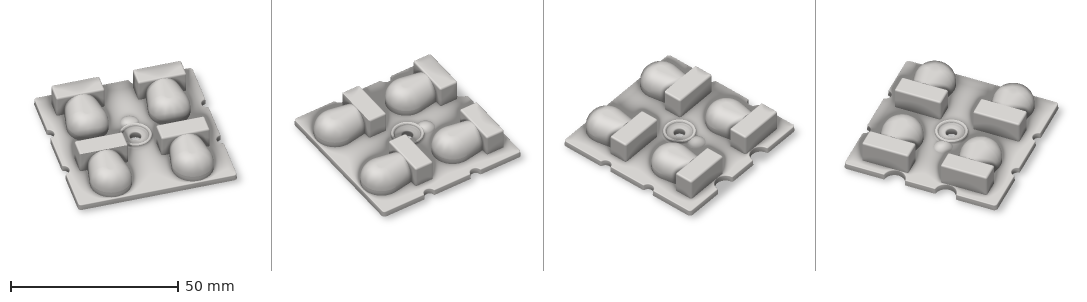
import cadquery as cq
import math

plate_side = 49.5
plate_thickness = 1.95
plate_corner_radius = 1.1
plate_edge_radius = 0.3
plate_draft_angle = 4

notch_offset = plate_side / 6
small_notch_radius = 1.65
large_notch_radius = 3.2
notch_mouth_radius = 0.5

unit_pitch = 25.45
block_width = 6.25
block_length = 15.05
block_height = 7.0
block_edge_radius = 0.6
left_block_x = -18.25

bulb_radius = 6.35
bulb_height = 6.8
bulb_top_radius = 4.95
bulb_taper = math.radians(10)
bulb_reach = 7.4

ring_outer_radius = 4.95
ring_inner_radius = 4.1
ring_height = 1.05
ring_foot_radius = 0.6
floor_height = 0.25
floor_edge_radius = 0.4
floor_wall_radius = 4.0
ring_rim_chamfer = 0.2
hole_radius = 1.7
hole_mouth_radius = 0.4

dome_x = -6.45
dome_radius = 2.85
dome_height = 0.95

pin_offset = 22.45
pin_radius = 1.0
pin_height = 0.8
pin_edge_chamfer = 0.45
key_width = 1.05


def make_plate():
    """Notched square whose walls lean inward towards the top."""
    outline = cq.Workplane("XY").rect(plate_side, plate_side).extrude(-plate_thickness)
    outline = outline.edges("|Z").fillet(plate_corner_radius)

    half = plate_side / 2
    small_centers = [(x, y) for x in (-notch_offset, notch_offset) for y in (-half, half)]
    large_centers = [(-half, y) for y in (-notch_offset, notch_offset)]
    for centers, radius in ((small_centers, small_notch_radius), (large_centers, large_notch_radius)):
        cutter = cq.Workplane("XY").pushPoints(centers).circle(radius).extrude(-plate_thickness)
        outline = outline.cut(cutter)

        for x, y in centers:
            step_x, step_y = (0, radius) if x == -half else (radius, 0)
            for side in (-1, 1):
                mouth = (x + side * step_x, y + side * step_y, -plate_thickness / 2)
                mouth_edge = cq.selectors.NearestToPointSelector(mouth)
                outline = outline.edges(mouth_edge).fillet(notch_mouth_radius)

    foot = outline.faces("<Z").wires().val()
    plate = cq.Workplane("XY", origin=(0, 0, -plate_thickness)).add(foot).toPending()
    plate = plate.extrude(plate_thickness, taper=plate_draft_angle)
    return plate.faces(">Z").edges().fillet(plate_edge_radius)


def make_block(x, y, round_far_top_edge):
    block = cq.Workplane("XY").box(
        block_width, block_length, block_height, centered=(True, True, False)
    )
    rounded_edges = "|Z or >Z" if round_far_top_edge else "|Z or (>Z and (not >X))"
    return block.edges(rounded_edges).fillet(block_edge_radius).translate((x, y, 0))


def make_bulb(face_x, y):
    """Tapered body with a round nose, starting at the block face."""
    tangent_x = bulb_reach - bulb_radius * math.sin(bulb_taper)
    tangent_y = bulb_radius * math.cos(bulb_taper)
    root_y = tangent_y - tangent_x * math.tan(bulb_taper)
    bulb = (
        cq.Workplane("XY")
        .moveTo(0, -root_y)
        .lineTo(tangent_x, -tangent_y)
        .threePointArc((bulb_reach + bulb_radius, 0), (tangent_x, tangent_y))
        .lineTo(0, root_y)
        .close()
        .extrude(bulb_height)
    )
    bulb = bulb.faces(">Z").edges("not <X").fillet(bulb_top_radius)
    return bulb.translate((face_x, y, 0))


def make_ring():
    """Disc with a concave foot, a chamfered rim and a shallow recess that flares upwards."""
    crest_z = ring_height - ring_rim_chamfer
    wall_z = floor_height + floor_edge_radius
    mid_arc = 1 - math.sqrt(0.5)
    return (
        cq.Workplane("XZ")
        .lineTo(ring_outer_radius + ring_foot_radius, 0)
        .threePointArc(
            (ring_outer_radius + mid_arc * ring_foot_radius, mid_arc * ring_foot_radius),
            (ring_outer_radius, ring_foot_radius),
        )
        .lineTo(ring_outer_radius, crest_z)
        .lineTo(ring_outer_radius - ring_rim_chamfer, ring_height)
        .lineTo(ring_inner_radius + ring_rim_chamfer, ring_height)
        .lineTo(ring_inner_radius, crest_z)
        .lineTo(floor_wall_radius, wall_z)
        .threePointArc(
            (
                floor_wall_radius - mid_arc * floor_edge_radius,
                floor_height + mid_arc * floor_edge_radius,
            ),
            (floor_wall_radius - floor_edge_radius, floor_height),
        )
        .lineTo(0, floor_height)
        .close()
        .revolve(360, (0, 0, 0), (0, 1, 0))
    )


def make_hole_cutter():
    """Through hole that flares to a rounded mouth at the ring floor."""
    mid_arc = (1 - math.sqrt(0.5)) * hole_mouth_radius
    return (
        cq.Workplane("XZ")
        .moveTo(0, -plate_thickness)
        .lineTo(hole_radius, -plate_thickness)
        .lineTo(hole_radius, floor_height - hole_mouth_radius)
        .threePointArc(
            (hole_radius + mid_arc, floor_height - mid_arc),
            (hole_radius + hole_mouth_radius, floor_height),
        )
        .lineTo(0, floor_height)
        .close()
        .revolve(360, (0, 0, 0), (0, 1, 0))
    )


def make_dome():
    """Spherical cap standing on the plate, kept outside the ring."""
    sphere_radius = (dome_radius**2 + dome_height**2) / (2 * dome_height)
    sphere = cq.Workplane("XY").sphere(sphere_radius).translate((dome_x, 0, dome_height - sphere_radius))
    above_plate = cq.Workplane("XY").circle(plate_side / 2).circle(ring_outer_radius).extrude(ring_height)
    return sphere.intersect(above_plate)


def make_pin():
    pin = cq.Workplane("XY").circle(pin_radius).extrude(-pin_height)
    return pin.faces("<Z").edges().chamfer(pin_edge_chamfer).translate((0, 0, -plate_thickness))


def make_key():
    """Pin with its two X sides cut flat."""
    slab = cq.Workplane("XY").box(key_width, 2 * plate_side, 2 * plate_side)
    return make_pin().intersect(slab)


result = make_plate()

for column in (0, 1):
    for row in (-1, 1):
        block_x = left_block_x + column * unit_pitch
        block_y = row * unit_pitch / 2
        plain_block = column == 1 and row == -1
        result = result.union(make_block(block_x, block_y, not plain_block))
        result = result.union(make_bulb(block_x + block_width / 2, block_y))

result = result.union(make_ring()).union(make_dome())
result = result.union(make_key().translate((-pin_offset, 0, 0)))
result = result.union(make_pin().translate((pin_offset, 0, 0)))

result = result.cut(make_hole_cutter())